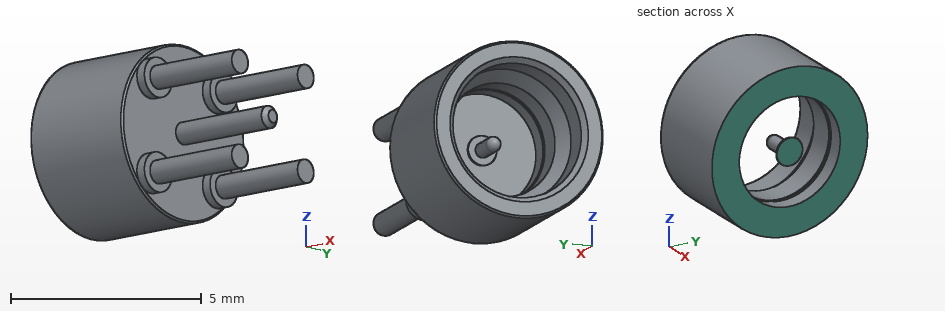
import cadquery as cq

total_length = 6.48
shell_diameter = 4.75
shell_length = 3.3
shell_chamfer = 0.05

mouth_diameter = 3.89
wide_bore_diameter = 3.61
narrow_bore_diameter = 3.05
mouth_depth = 0.15
cone_start_depth = 0.89
cone_end_depth = 1.33
floor_depth = 2.72
groove_start_depth = 2.11
groove_end_depth = 2.2
groove_diameter = 3.09

shoulder_diameter = 0.8
shoulder_height = 0.065
contact_diameter = 0.4
contact_length = 1.04

leg_spacing = 2.54
leg_diameter = 0.635
collar_diameter = 1.07
collar_length = 0.265
centre_leg_diameter = 0.6
centre_leg_chamfer = 0.13


def rod(diameter, start, end, y=0.0, z=0.0):
    """Cylinder along X between two X positions."""
    return cq.Workplane("YZ", origin=(start, y, z)).circle(diameter / 2).extrude(end - start)


def make_socket():
    return (
        cq.Workplane("XY")
        .moveTo(0, 0)
        .lineTo(0, mouth_diameter / 2)
        .lineTo(mouth_depth, wide_bore_diameter / 2)
        .lineTo(cone_start_depth, wide_bore_diameter / 2)
        .lineTo(cone_end_depth, narrow_bore_diameter / 2)
        .lineTo(groove_start_depth, narrow_bore_diameter / 2)
        .lineTo(groove_start_depth, groove_diameter / 2)
        .lineTo(groove_end_depth, groove_diameter / 2)
        .lineTo(groove_end_depth, narrow_bore_diameter / 2)
        .lineTo(floor_depth, narrow_bore_diameter / 2)
        .lineTo(floor_depth, 0)
        .close()
        .revolve(360, (0, 0, 0), (1, 0, 0))
    )


def make_contact():
    nose_centre = floor_depth - contact_length + contact_diameter / 2
    nose = cq.Workplane("XY", origin=(nose_centre, 0, 0)).sphere(contact_diameter / 2)
    pin = rod(contact_diameter, nose_centre, shell_length)
    shoulder = rod(shoulder_diameter, floor_depth - shoulder_height, shell_length)
    return shoulder.union(pin).union(nose)


def make_corner_leg(y, z):
    collar = rod(collar_diameter, shell_length, shell_length + collar_length, y, z)
    return collar.union(rod(leg_diameter, shell_length, total_length, y, z))


shell = rod(shell_diameter, 0, shell_length).edges().chamfer(shell_chamfer)
result = shell.cut(make_socket()).union(make_contact())

centre_leg = rod(centre_leg_diameter, floor_depth, total_length)
result = result.union(centre_leg.faces(">X").chamfer(centre_leg_chamfer))

for y_side in (-1, 1):
    for z_side in (-1, 1):
        leg = make_corner_leg(y_side * leg_spacing / 2, z_side * leg_spacing / 2)
        result = result.union(leg)